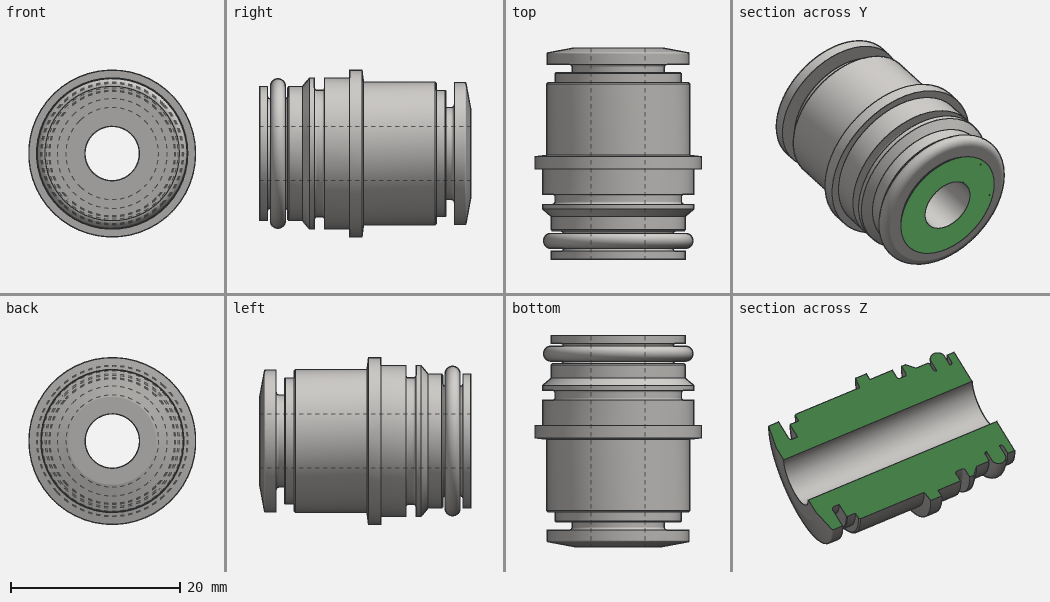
import cadquery as cq

bore_diameter = 6.4
nose_diameter = 15.9
seal_groove_diameter = 13.0
shoulder_diameter = 17.9
relief_diameter = 15.0
flange_diameter = 19.75
body_diameter = 16.92
collar_diameter = 14.92
neck_diameter = 10.92
head_diameter = 16.8
crown_diameter = 10.4

nose_lip_top = 0.95
seal_center = 2.18
seal_groove_top = 3.32
cone_bottom = 5.08
cone_top = 5.92
relief_bottom = 6.5
relief_top = 7.68
flange_bottom = 10.65
flange_rim_top = 12.12
flange_top = 12.3
body_top = 20.9
collar_top = 22.05
head_bottom = 23.02
head_rim_top = 24.4
overall_length = 25.0

seal_section_radius = 0.9
groove_fillet = 0.3
relief_lower_fillet = 0.3
relief_upper_fillet = 0.22
neck_fillet = 0.35
edge_chamfer = 0.18
collar_chamfer = 0.1
head_rim_fillet = 0.18


def cylinder(diameter, start, end):
    """Cylinder about the Y axis between two axial positions."""
    plane = cq.Workplane("XZ", origin=(0, end, 0))
    return plane.circle(diameter / 2).extrude(end - start)


def cone(start_diameter, end_diameter, start, end):
    """Truncated cone about the Y axis."""
    return (
        cq.Workplane("XY")
        .moveTo(0, start)
        .lineTo(start_diameter / 2, start)
        .lineTo(end_diameter / 2, end)
        .lineTo(0, end)
        .close()
        .revolve(360, (0, 0, 0), (0, 1, 0))
    )


def root_fillet(diameter, wall, direction, radius):
    """Concave ring where a cylinder meets a wall; direction points away from the wall."""
    inner = diameter / 2
    mid = radius * (1 - 0.5**0.5)
    return (
        cq.Workplane("XY")
        .moveTo(inner, wall)
        .lineTo(inner + radius, wall)
        .threePointArc((inner + mid, wall + direction * mid), (inner, wall + direction * radius))
        .close()
        .revolve(360, (0, 0, 0), (0, 1, 0))
    )


def seal_ring():
    """Round-edged seal whose inner side reaches the groove floor."""
    inner = seal_groove_diameter / 2
    section_center = nose_diameter / 2
    bottom = seal_center - seal_section_radius
    top = seal_center + seal_section_radius
    return (
        cq.Workplane("XY")
        .moveTo(inner, bottom)
        .lineTo(section_center, bottom)
        .threePointArc((section_center + seal_section_radius, seal_center), (section_center, top))
        .lineTo(inner, top)
        .close()
        .revolve(360, (0, 0, 0), (0, 1, 0))
    )


nose = cylinder(nose_diameter, 0, nose_lip_top)
nose = nose.union(cylinder(seal_groove_diameter, nose_lip_top, seal_groove_top))
nose = nose.union(root_fillet(seal_groove_diameter, nose_lip_top, 1, groove_fillet))
nose = nose.union(root_fillet(seal_groove_diameter, seal_groove_top, -1, groove_fillet))
land = cylinder(nose_diameter, seal_groove_top, cone_bottom).faces("<Y").edges().chamfer(edge_chamfer)
nose = nose.union(land).union(seal_ring())

middle = cone(nose_diameter, shoulder_diameter, cone_bottom, cone_top)
middle = middle.union(cylinder(shoulder_diameter, cone_top, relief_bottom))
middle = middle.union(cylinder(relief_diameter, relief_bottom, relief_top))
middle = middle.union(root_fillet(relief_diameter, relief_bottom, 1, relief_lower_fillet))
middle = middle.union(root_fillet(relief_diameter, relief_top, -1, relief_upper_fillet))
middle = middle.union(cylinder(shoulder_diameter, relief_top, flange_bottom))
middle = middle.union(cylinder(flange_diameter, flange_bottom, flange_rim_top))
middle = middle.union(cone(flange_diameter, body_diameter, flange_rim_top, flange_top))

body = cylinder(body_diameter, flange_rim_top, body_top).faces(">Y").edges().chamfer(edge_chamfer)
collar = cylinder(collar_diameter, body_top, collar_top).faces(">Y").edges().chamfer(collar_chamfer)

neck = cylinder(neck_diameter, collar_top, head_bottom)
neck = neck.union(root_fillet(neck_diameter, head_bottom, -1, neck_fillet))
head = cylinder(head_diameter, head_bottom, head_rim_top)
head = head.union(cone(head_diameter, crown_diameter, head_rim_top, overall_length))
rim_edge = cq.selectors.BoxSelector(
    (-head_diameter, head_rim_top - edge_chamfer, -head_diameter),
    (head_diameter, head_rim_top + edge_chamfer, head_diameter),
)
head = head.edges(rim_edge).edges("%CIRCLE").fillet(head_rim_fillet)

result = nose.union(middle).union(body).union(collar).union(neck).union(head)
result = result.cut(cylinder(bore_diameter, 0, overall_length))